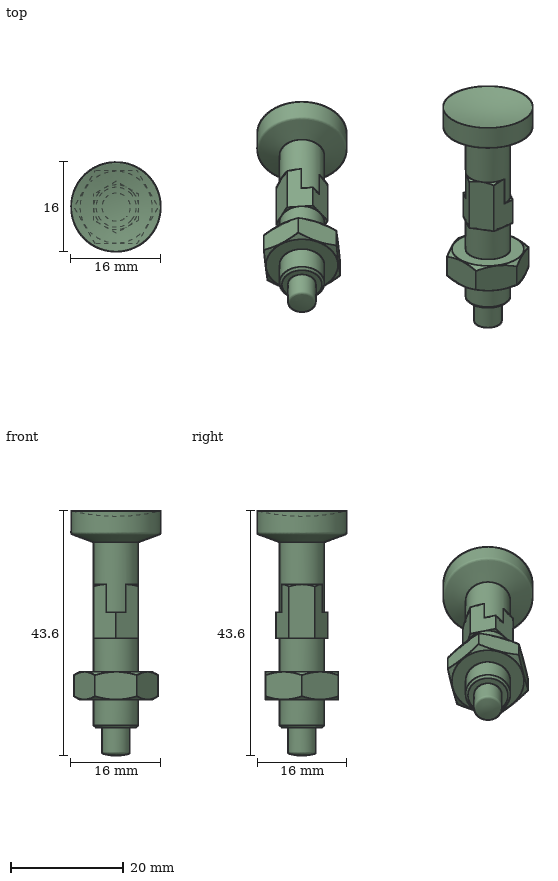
import cadquery as cq
import math

body_bottom = 5.0
nut_bottom = 10.0
nut_height = 5.0
hex_bottom = 20.93
notch_bottom = 25.6
hex_top = 30.5
knob_bottom = 38.0
total_height = 43.6

pin_radius = 5.0 / 2
pin_dome_height = 0.4
pin_edge_fillet = 0.45
body_radius = 8.0 / 2
body_chamfer = 0.45

nut_across_flats = 13.0
nut_chamfer_radius = 6.4
collar_across_flats = 2 * body_radius
notch_width = 3.55
chamfer_angle = math.radians(30)
chamfer_reach = 1.75

knob_radius = 16.0 / 2
knob_edge_height = 1.5
knob_edge_fillet = 0.5
knob_rim_width = 0.25
dish_depth = 0.9


def hexagon(across_flats, bottom, height):
    """Hexagonal prism with two corners on the X axis."""
    corner_diameter = across_flats / math.cos(math.pi / 6)
    return cq.Workplane("XY").workplane(offset=bottom).polygon(6, corner_diameter).extrude(height)


def chamfer_cone(start_radius, top, height, both_ends):
    """Turned envelope that bevels the corners of a hexagon at its top or at both ends."""
    outer_radius = start_radius + chamfer_reach
    drop = (outer_radius - start_radius) * math.tan(chamfer_angle)
    profile = cq.Workplane("XZ").moveTo(0, top).lineTo(start_radius, top).lineTo(outer_radius, top - drop)
    bottom = top - height
    if both_ends:
        profile = profile.lineTo(outer_radius, bottom + drop).lineTo(start_radius, bottom)
    else:
        profile = profile.lineTo(outer_radius, bottom)
    return profile.lineTo(0, bottom).close().revolve(360, (0, 0), (0, 1))


def sagitta(chord_radius, depth, radius):
    """Distance from the apex of a shallow spherical cap to its surface at the given radius."""
    sphere_radius = (chord_radius**2 + depth**2) / (2 * depth)
    return sphere_radius - math.sqrt(sphere_radius**2 - radius**2)


def circle_at(height):
    """Selector for the turned edge lying at the given height."""
    reach = 0.05
    return cq.selectors.BoxSelector((-reach, -reach, height - reach), (reach, reach, height + reach))


def make_spindle():
    """Domed pin, body and dished knob turned as one profile, with rounded pin and knob edges."""
    knob_edge = knob_bottom + knob_edge_height
    rim_radius = knob_radius - knob_rim_width
    dish_bottom = total_height - dish_depth
    dome_middle = (pin_radius / 2, sagitta(pin_radius, pin_dome_height, pin_radius / 2))
    dish_middle = (rim_radius / 2, dish_bottom + sagitta(rim_radius, dish_depth, rim_radius / 2))
    spindle = (
        cq.Workplane("XZ")
        .threePointArc(dome_middle, (pin_radius, pin_dome_height))
        .lineTo(pin_radius, body_bottom)
        .lineTo(body_radius - body_chamfer, body_bottom)
        .lineTo(body_radius, body_bottom + body_chamfer)
        .lineTo(body_radius, knob_bottom)
        .lineTo(knob_radius, knob_edge)
        .lineTo(knob_radius, total_height)
        .lineTo(rim_radius, total_height)
        .threePointArc(dish_middle, (0, dish_bottom))
        .close()
        .revolve(360, (0, 0), (0, 1))
    )
    spindle = spindle.edges(circle_at(pin_dome_height)).fillet(pin_edge_fillet)
    return spindle.edges(circle_at(knob_edge)).fillet(knob_edge_fillet)


def make_nut():
    nut = hexagon(nut_across_flats, nut_bottom, nut_height)
    return nut.intersect(chamfer_cone(nut_chamfer_radius, nut_bottom + nut_height, nut_height, True))


def make_collar():
    """Collar turned 30 degrees from the nut, notched on its front and back corners."""
    height = hex_top - hex_bottom
    collar = hexagon(collar_across_flats, hex_bottom, height).rotate((0, 0, 0), (0, 0, 1), 30)
    collar = collar.intersect(chamfer_cone(body_radius, hex_top, height, False))
    notch = (
        cq.Workplane("XY")
        .workplane(offset=notch_bottom)
        .rect(notch_width, 2 * collar_across_flats)
        .extrude(hex_top - notch_bottom)
    )
    return collar.cut(notch)


result = make_spindle().union(make_nut()).union(make_collar())